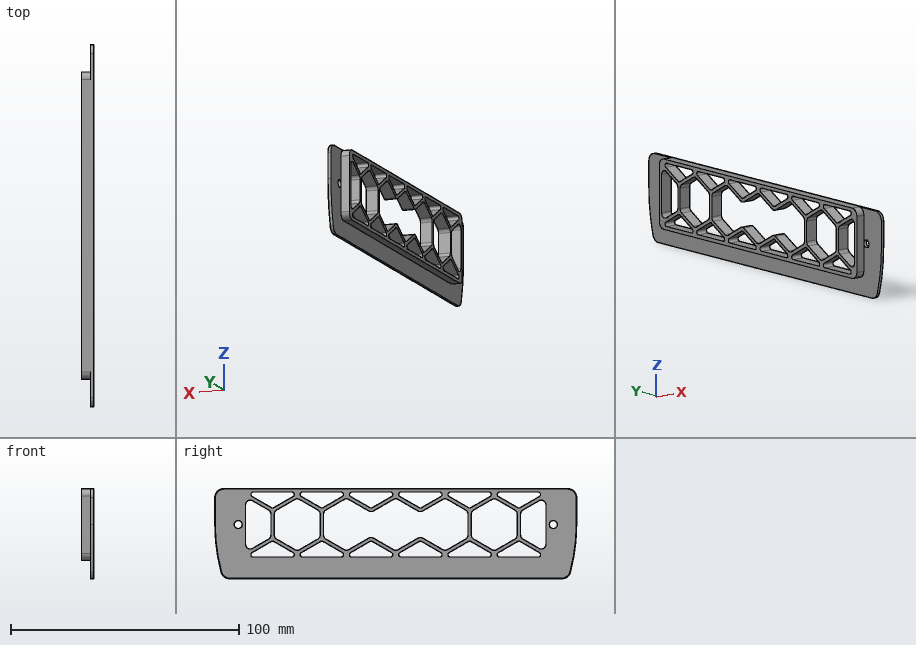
import cadquery as cq
import math

length = 158.8
height = 39.6
total_depth = 5.6
flange_thickness = 1.6
corner_radius = 4.0
back_chamfer = 0.3
flank_radius = 80.0
hole_diameter = 3.4
hole_to_end = 10.3

frame_end_margin = 12.0
frame_height = 31.6
frame_wall = 1.6
frame_corner_radius = 3.2

cell_pitch = 21.6
bar_width = 1.6
cell_corner_radius = 2.0
gap_corner_radius = 1.0
gap_count = 6

top_z = frame_height / 2
bottom_z = top_z - height
frame_length = length - 2 * frame_end_margin
window_length = frame_length - 2 * frame_wall
window_height = frame_height - 2 * frame_wall
cell_flats = cell_pitch - bar_width
bar_angle = math.radians(30)
bar_slope = math.tan(bar_angle)
bar_half_rise = bar_width / 2 / math.cos(bar_angle)
node_z = cell_pitch / math.sqrt(3)
cell_peak_z = node_z - bar_half_rise
cell_side_z = cell_peak_z - cell_flats / 2 * bar_slope
bar_tip_z = node_z / 2 - bar_half_rise


def front_plane():
    """YZ plane at the front of the raised frame; extrusions run toward the back face."""
    return cq.Workplane("YZ", origin=(-total_depth, 0, 0))


def make_flange():
    half = length / 2

    def half_length_at(z):
        return half - flank_radius + math.sqrt(flank_radius**2 - z**2)

    middle_z = bottom_z / 2
    bottom_half = half_length_at(bottom_z)
    middle_half = half_length_at(middle_z)
    return (
        cq.Workplane("YZ", origin=(-flange_thickness, 0, 0))
        .moveTo(-half, top_z)
        .lineTo(half, top_z)
        .lineTo(half, 0)
        .threePointArc((middle_half, middle_z), (bottom_half, bottom_z))
        .lineTo(-bottom_half, bottom_z)
        .threePointArc((-middle_half, middle_z), (-half, 0))
        .close()
        .extrude(flange_thickness)
        .edges("|X and (>Z or <Z)")
        .fillet(corner_radius)
        .faces(">X")
        .edges()
        .chamfer(back_chamfer)
    )


def make_frame():
    return (
        front_plane()
        .rect(frame_length, frame_height)
        .extrude(total_depth - flange_thickness)
        .edges("|X")
        .fillet(frame_corner_radius)
    )


def make_rounded_opening(points, radius):
    """Prism through the full depth with every corner of its outline rounded."""
    return front_plane().polyline(points).close().extrude(total_depth).edges("|X").fillet(radius)


def make_cell_row(first_center, cell_count):
    """One opening spanning neighbouring hexagonal cells, without the bars between them."""
    start_y = first_center - cell_flats / 2
    end_y = first_center + (cell_count - 1) * cell_pitch + cell_flats / 2
    upper = [(start_y, cell_side_z)]
    for index in range(cell_count):
        center_y = first_center + index * cell_pitch
        if index > 0:
            upper.append((center_y - cell_pitch / 2, bar_tip_z))
        upper.append((center_y, cell_peak_z))
    upper.append((end_y, cell_side_z))
    lower = [(y, -z) for y, z in reversed(upper)]
    return make_rounded_opening(upper + lower, cell_corner_radius)


def make_end_cell(side):
    """Outermost cell, whose sloping bars run on to the end wall of the frame."""
    inner_y = 3 * cell_pitch - cell_flats / 2
    wall_y = window_length / 2
    wall_z = cell_side_z + (wall_y - inner_y) * bar_slope
    points = [
        (side * inner_y, cell_side_z),
        (side * wall_y, wall_z),
        (side * wall_y, -wall_z),
        (side * inner_y, -cell_side_z),
    ]
    return make_rounded_opening(points, cell_corner_radius)


def make_gap(center_y, side):
    """Triangular opening between two neighbouring cells and the long frame wall."""
    wall_z = window_height / 2
    tip_z = node_z / 2 + bar_half_rise
    half_base = (wall_z - tip_z) / bar_slope
    points = [
        (center_y - half_base, side * wall_z),
        (center_y + half_base, side * wall_z),
        (center_y, side * tip_z),
    ]
    return make_rounded_opening(points, gap_corner_radius)


def make_screw_holes():
    hole_y = length / 2 - hole_to_end
    return (
        front_plane()
        .pushPoints([(-hole_y, 0), (hole_y, 0)])
        .circle(hole_diameter / 2)
        .extrude(total_depth)
    )


result = make_flange().union(make_frame()).cut(make_screw_holes())
result = result.cut(make_cell_row(-cell_pitch, 3))
for side in (-1, 1):
    result = result.cut(make_cell_row(side * 2 * cell_pitch, 1)).cut(make_end_cell(side))
    for index in range(gap_count):
        gap_y = (index - (gap_count - 1) / 2) * cell_pitch
        result = result.cut(make_gap(gap_y, side))